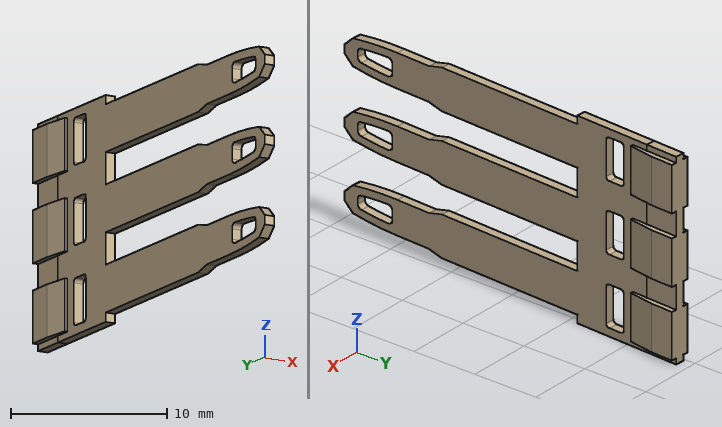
import cadquery as cq
import math


overall_y = 28.52
height = 15.0
thickness = 0.7
tilt_angle = 3.0
finger_pitch = 5.3
finger_centers = [-finger_pitch, 0, finger_pitch]

strip_length = 2.5
pad_width = 3.5
pad_length = 3.7
pad_flat_length = 1.8
pad_thickness = 0.4
pad_tip_thickness = 0.2

tilt_radians = math.radians(tilt_angle)
corner_swing = (thickness + pad_thickness) * math.sin(tilt_radians)
length = (overall_y - corner_swing) / math.cos(tilt_radians)

shoulder_distance = 8.5
finger_width = 3.17
slot_start = 4.5
slot_length = 1.5
slot_height = 3.15
slot_corner = 0.25

neck_start = 20.14
neck_end = 21.25
neck_width = 2.6
nose_start = 23.99
nose_radius = 24.98
nose_end = 27.78
tip_width = 0.63

eyelet_start = 24.38
eyelet_end = 27.35
eyelet_wall = 0.6
eyelet_corner = 0.35


def nose_half_width(distance, inset=0.0):
    """Half width of the curved nose, whose side arcs start tangent to the neck."""
    radius = nose_radius - inset
    sagitta = radius - math.sqrt(radius**2 - (distance - nose_start) ** 2)
    return neck_width / 2 - inset - sagitta


def extrude_through(sketch):
    return sketch.extrude(thickness / 2, both=True)


def make_finger(center_z):
    nose_middle = (nose_start + nose_end) / 2
    middle_half = nose_half_width(nose_middle)
    end_half = nose_half_width(nose_end)
    outline = (
        cq.Workplane("YZ", origin=(0, 0, center_z))
        .moveTo(-shoulder_distance, finger_width / 2)
        .lineTo(-neck_start, finger_width / 2)
        .lineTo(-neck_end, neck_width / 2)
        .lineTo(-nose_start, neck_width / 2)
        .threePointArc((-nose_middle, middle_half), (-nose_end, end_half))
        .lineTo(-length, tip_width / 2)
        .lineTo(-length, -tip_width / 2)
        .lineTo(-nose_end, -end_half)
        .threePointArc((-nose_middle, -middle_half), (-nose_start, -neck_width / 2))
        .lineTo(-neck_end, -neck_width / 2)
        .lineTo(-neck_start, -finger_width / 2)
        .lineTo(-shoulder_distance, -finger_width / 2)
        .close()
    )
    return extrude_through(outline).cut(make_eyelet(center_z))


def make_eyelet(center_z):
    """Opening whose curved sides keep an even wall along the nose."""
    middle = (eyelet_start + eyelet_end) / 2
    start_half = nose_half_width(eyelet_start, eyelet_wall)
    middle_half = nose_half_width(middle, eyelet_wall)
    end_half = nose_half_width(eyelet_end, eyelet_wall)
    outline = (
        cq.Workplane("YZ", origin=(0, 0, center_z))
        .moveTo(-eyelet_start, start_half)
        .threePointArc((-middle, middle_half), (-eyelet_end, end_half))
        .lineTo(-eyelet_end, -end_half)
        .threePointArc((-middle, -middle_half), (-eyelet_start, -start_half))
        .close()
    )
    return extrude_through(outline).edges("|X").fillet(eyelet_corner)


def make_slot(center_z):
    slot_center = slot_start + slot_length / 2
    slot = cq.Workplane("XY").box(thickness, slot_length, slot_height)
    return slot.edges("|X").fillet(slot_corner).translate((0, -slot_center, center_z))


def make_plate():
    plate_length = shoulder_distance - strip_length
    plate_center = (shoulder_distance + strip_length) / 2
    plate = cq.Workplane("XY").box(thickness, plate_length, height)
    plate = plate.translate((0, -plate_center, 0))
    for center_z in finger_centers:
        plate = plate.union(make_finger(center_z)).cut(make_slot(center_z))
    return plate


def make_pad(side, center_z):
    """Clip pad on the face at side * X: flat over the strip end, then tapering."""
    face = thickness / 2
    return (
        cq.Workplane("XY", origin=(0, 0, center_z))
        .moveTo(side * face, 0)
        .lineTo(side * (face + pad_thickness), 0)
        .lineTo(side * (face + pad_thickness), -pad_flat_length)
        .lineTo(side * (face + pad_tip_thickness), -pad_length)
        .lineTo(side * face, -pad_length)
        .close()
        .extrude(pad_width / 2, both=True)
    )


def make_strip():
    strip = cq.Workplane("XY").box(thickness, strip_length, height)
    strip = strip.translate((0, -strip_length / 2, 0))
    for center_z in finger_centers:
        for side in (-1, 1):
            strip = strip.union(make_pad(side, center_z))
    return strip


def tilt(body):
    return body.rotate((0, 0, 0), (0, 0, 1), -tilt_angle)


terminal_plate = tilt(make_plate())
clip_strip = tilt(make_strip())

result = cq.Compound.makeCompound([terminal_plate.val(), clip_strip.val()])